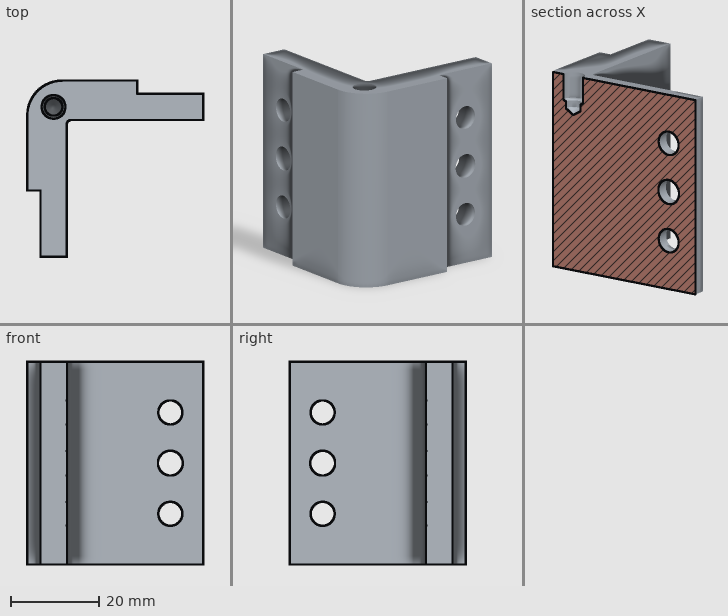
import cadquery as cq
import math

leg_length = 40.0
height = 46.0
corner_thickness = 9.0
corner_radius = 8.0
inner_fillet = 1.0

step_depth = 3.0
step_start = 25.0

leg_hole_diameter = 5.4
middle_hole_diameter = 5.6
leg_hole_position = (step_start + leg_length) / 2
leg_hole_pitch = height / 4

bore_inset = 6.0
bore_diameter = 5.4
bore_depth = 6.0
pilot_diameter = 4.0
pilot_depth = 8.0
drill_point_angle = 118.0


def make_body():
    """Extrude the stepped L outline and round its two corners."""
    outline = [
        (0, 0),
        (step_start, 0),
        (step_start, -step_depth),
        (leg_length, -step_depth),
        (leg_length, -corner_thickness),
        (corner_thickness, -corner_thickness),
        (corner_thickness, -leg_length),
        (step_depth, -leg_length),
        (step_depth, -step_start),
        (0, -step_start),
    ]
    body = cq.Workplane("XY").polyline(outline).close().extrude(height)
    outer_edge = cq.NearestToPointSelector((0, 0, height / 2))
    inner_edge = cq.NearestToPointSelector((corner_thickness, -corner_thickness, height / 2))
    body = body.edges("|Z").edges(outer_edge).fillet(corner_radius)
    return body.edges("|Z").edges(inner_edge).fillet(inner_fillet)


def make_leg_holes():
    """Cutters for the three holes through each leg."""
    cutters = cq.Workplane("XY")
    for row in (-1, 0, 1):
        diameter = middle_hole_diameter if row == 0 else leg_hole_diameter
        radius = diameter / 2
        z = height / 2 + row * leg_hole_pitch
        along_y = cq.Solid.makeCylinder(
            radius, corner_thickness, cq.Vector(leg_hole_position, 0, z), cq.Vector(0, -1, 0)
        )
        along_x = cq.Solid.makeCylinder(
            radius, corner_thickness, cq.Vector(0, -leg_hole_position, z), cq.Vector(1, 0, 0)
        )
        cutters = cutters.add(along_y).add(along_x)
    return cutters.combine()


def make_drilled_hole(diameter, depth):
    """Cutter for a vertical corner hole from the top face, with a conical drill point."""
    radius = diameter / 2
    point_length = radius / math.tan(math.radians(drill_point_angle / 2))
    profile = (
        cq.Workplane("XZ")
        .moveTo(0, height)
        .lineTo(radius, height)
        .lineTo(radius, height - depth)
        .lineTo(0, height - depth - point_length)
        .close()
    )
    return profile.revolve(360, (0, 0), (0, 1)).translate((bore_inset, -bore_inset, 0))


result = (
    make_body()
    .cut(make_leg_holes())
    .cut(make_drilled_hole(bore_diameter, bore_depth))
    .cut(make_drilled_hole(pilot_diameter, pilot_depth))
)